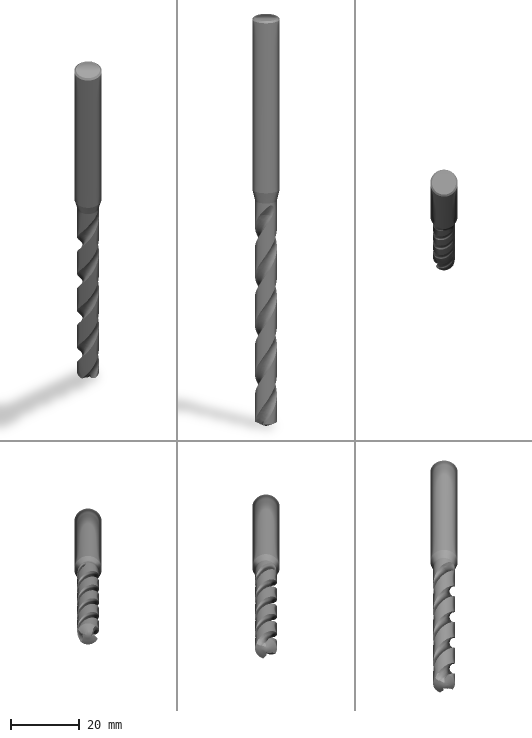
import cadquery as cq
import math

total_length = 125.0
shank_diameter = 8.0
shank_bottom_z = 72.5
shank_chamfer = 0.5

drill_diameter = 6.4
taper_bottom_z = 69.1

joint_z = 56.0
point_height = 1.5

flute_count = 2
flute_pitch = 30.0
flute_radius = 2.4
core_radius = 1.6
flute_start_angle = -83.0
flute_top_z = 65.1
flute_runout_height = 6.2
flute_runout_tilt = 14.0

gash_root_x = 0.6
gash_root_y = -0.4
gash_half_width = 1.5
gash_depth = 2.0
gash_height = 3.1
gash_lean_x = 0.25
gash_lean_y = -0.4

shank_radius = shank_diameter / 2
drill_radius = drill_diameter / 2
flute_center_radius = core_radius + flute_radius


def flute_angle(z, index):
    """Direction of one flute's centre at height z, in degrees."""
    return flute_start_angle + 360.0 * (z / flute_pitch + index / flute_count)


def flute_section(z, index):
    """Flute circle in the horizontal plane at height z."""
    angle = math.radians(flute_angle(z, index))
    center = (flute_center_radius * math.cos(angle), flute_center_radius * math.sin(angle))
    return cq.Workplane("XY").workplane(offset=z).moveTo(*center).circle(flute_radius)


def helical_flute(bottom_z, top_z, index):
    """Right-handed flute cutter between two heights."""
    height = top_z - bottom_z
    return flute_section(bottom_z, index).twistExtrude(height, 360.0 * height / flute_pitch)


def flute_runout(index):
    """Straight cutter that leaves the flute along its tangent, leaning outward out of the neck."""
    angle = math.radians(flute_angle(flute_top_z, index))
    travel = 2 * math.pi * flute_center_radius * flute_runout_height / flute_pitch
    drift = flute_runout_height * math.tan(math.radians(flute_runout_tilt))
    direction = cq.Vector(
        drift * math.cos(angle) - travel * math.sin(angle),
        drift * math.sin(angle) + travel * math.cos(angle),
        flute_runout_height,
    )
    section = flute_section(flute_top_z, index).wires().val()
    return cq.Workplane(cq.Solid.extrudeLinear(section, [], direction))


def point_gash(index):
    """Leaning V-shaped cutter that deepens one flute at the point and runs out into it."""
    mouth_y = gash_root_y - gash_depth
    section = cq.Wire.makePolygon(
        [
            cq.Vector(gash_root_x, gash_root_y, 0),
            cq.Vector(gash_root_x - gash_half_width, mouth_y, 0),
            cq.Vector(gash_root_x + gash_half_width, mouth_y, 0),
        ],
        close=True,
    )
    direction = cq.Vector(gash_lean_x, gash_lean_y, 1) * gash_height
    cutter = cq.Workplane(cq.Solid.extrudeLinear(section, [], direction))
    return cutter.rotate((0, 0, 0), (0, 0, 1), 360.0 * index / flute_count)


def make_drill_head():
    head = (
        cq.Workplane("XZ")
        .polyline([(0, 0), (-drill_radius, point_height), (-drill_radius, joint_z), (0, joint_z)])
        .close()
        .revolve(360, (0, 0), (0, 1))
    )
    for index in range(flute_count):
        head = head.cut(helical_flute(0, joint_z, index))
        head = head.cut(point_gash(index))
    return head


def make_shank_body():
    body = (
        cq.Workplane("YZ")
        .moveTo(0, joint_z)
        .lineTo(-drill_radius, joint_z)
        .lineTo(-drill_radius, taper_bottom_z)
        .lineTo(-shank_radius, shank_bottom_z)
        .lineTo(-shank_radius, total_length - shank_chamfer)
        .lineTo(-shank_radius + shank_chamfer, total_length)
        .lineTo(0, total_length)
        .close()
        .revolve(360, (0, 0), (0, 1))
    )
    for index in range(flute_count):
        body = body.cut(helical_flute(joint_z, flute_top_z, index))
        body = body.cut(flute_runout(index))
    return body


drill_head = make_drill_head()
shank_body = make_shank_body()

result = cq.Compound.makeCompound([drill_head.val(), shank_body.val()])